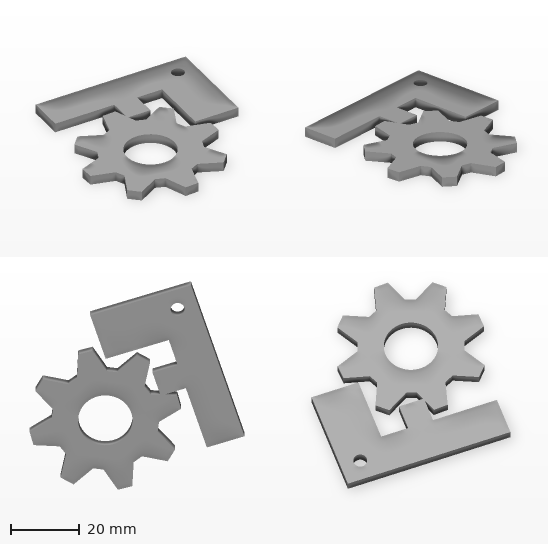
import cadquery as cq
import math

overall_length = 59.05
overall_width = 55.15
thickness = 3.0

bracket_height = 50.2
stem_width = 11.45
top_arm_length = 30.7
top_arm_depth = 14.45
middle_arm_length = 19.1
middle_arm_width = 7.7
middle_arm_offset = 22.8
hole_diameter = 4.0
hole_inset = 6.0

tooth_count = 8
tip_radius = 22.25
root_radius = 15.6
tip_half_angle = 5.6
root_half_angle = 16.9
gear_rotation = 3.0
bore_diameter = 15.75

gear_reach = tip_radius * math.cos(math.radians(tip_half_angle - gear_rotation))
gear_x = overall_length - gear_reach
gear_y = gear_reach


def bar(left, top, length, width):
    """Rectangular plate placed by its upper left corner."""
    return cq.Workplane("XY").box(length, width, thickness, centered=False).translate((left, top - width, 0))


def make_bracket():
    stem = bar(0, overall_width, stem_width, bracket_height)
    top_arm = bar(0, overall_width, top_arm_length, top_arm_depth)
    middle_arm = bar(0, overall_width - middle_arm_offset, middle_arm_length, middle_arm_width)
    hole = (
        cq.Workplane("XY")
        .center(hole_inset, overall_width - hole_inset)
        .circle(hole_diameter / 2)
        .extrude(thickness)
    )
    return stem.union(top_arm).union(middle_arm).cut(hole)


def gear_point(radius, degrees):
    angle = math.radians(degrees)
    return (radius * math.cos(angle), radius * math.sin(angle))


def make_gear():
    outline = []
    for tooth in range(tooth_count):
        middle = gear_rotation + tooth * 360 / tooth_count
        outline.append(gear_point(root_radius, middle - root_half_angle))
        outline.append(gear_point(tip_radius, middle - tip_half_angle))
        outline.append(gear_point(tip_radius, middle + tip_half_angle))
        outline.append(gear_point(root_radius, middle + root_half_angle))
    blank = cq.Workplane("XY").polyline(outline).close().extrude(thickness)
    bore = cq.Workplane("XY").circle(bore_diameter / 2).extrude(thickness)
    return blank.cut(bore).translate((gear_x, gear_y, 0))


result = make_bracket().union(make_gear())